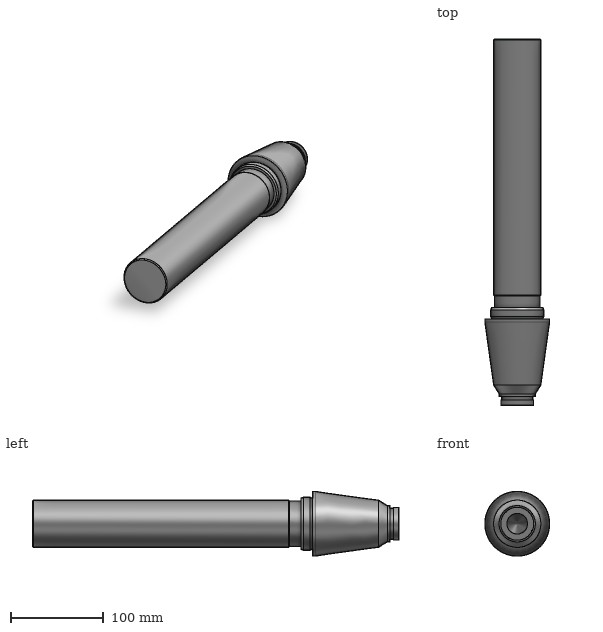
import cadquery as cq
import math

TIP_DIA = 35.5
TIP_NECK_DIA = 33.5
NOSE_DIA = 39.0
SHANK_DIA = 51.0
FLANGE_DIA = 70.0
COLLAR_DIA = 57.3
SHANK_NECK_DIA = 49.5

LENGTH = 395.0
TIP_LENGTH = 6.0
TIP_NECK_LENGTH = 4.0
NOSE_LENGTH = 2.8
NOSE_CONE_LENGTH = 9.5
BODY_CONE_LENGTH = 68.0
FLANGE_LENGTH = 3.0
COLLAR_LENGTH = 12.5
SHANK_NECK_LENGTH = 12.2

COLLAR_CHAMFER = 2.8
COLLAR_CHAMFER_DEPTH = 1.0
SHANK_CHAMFER = 1.0
SHANK_BEVEL_LENGTH = 1.0

HOLE_DIA = 22.0
HOLE_DEPTH = 39.5
DRILL_POINT_ANGLE = 118.0

neck_start = TIP_LENGTH
nose_start = neck_start + TIP_NECK_LENGTH
nose_end = nose_start + NOSE_LENGTH
body_start = nose_end + NOSE_CONE_LENGTH
flange_start = body_start + BODY_CONE_LENGTH
collar_start = flange_start + FLANGE_LENGTH
collar_end = collar_start + COLLAR_LENGTH
shank_start = collar_end + SHANK_NECK_LENGTH


def turned_body():
    """Revolve the stepped outer profile about the Y axis."""
    collar_edge_radius = COLLAR_DIA / 2 - COLLAR_CHAMFER_DEPTH
    profile = [
        (0, 0),
        (TIP_DIA / 2, 0),
        (TIP_DIA / 2, neck_start),
        (TIP_NECK_DIA / 2, neck_start),
        (TIP_NECK_DIA / 2, nose_start),
        (NOSE_DIA / 2, nose_start),
        (NOSE_DIA / 2, nose_end),
        (SHANK_DIA / 2, body_start),
        (FLANGE_DIA / 2, flange_start),
        (FLANGE_DIA / 2, collar_start),
        (collar_edge_radius, collar_start),
        (COLLAR_DIA / 2, collar_start + COLLAR_CHAMFER),
        (COLLAR_DIA / 2, collar_end - COLLAR_CHAMFER),
        (collar_edge_radius, collar_end),
        (SHANK_NECK_DIA / 2, collar_end),
        (SHANK_NECK_DIA / 2, shank_start),
        (SHANK_DIA / 2, shank_start + SHANK_BEVEL_LENGTH),
        (SHANK_DIA / 2, LENGTH - SHANK_CHAMFER),
        (SHANK_DIA / 2 - SHANK_CHAMFER, LENGTH),
        (0, LENGTH),
    ]
    return cq.Workplane("XY").polyline(profile).close().revolve(360, (0, 0), (0, 1))


def drilled_hole():
    """Cylindrical bore with a conical drill point, opening at the tip face."""
    radius = HOLE_DIA / 2
    point_depth = radius / math.tan(math.radians(DRILL_POINT_ANGLE / 2))
    profile = [
        (0, 0),
        (radius, 0),
        (radius, HOLE_DEPTH),
        (0, HOLE_DEPTH + point_depth),
    ]
    return cq.Workplane("XY").polyline(profile).close().revolve(360, (0, 0), (0, 1))


result = turned_body().cut(drilled_hole()).translate((0, -LENGTH / 2, 0))